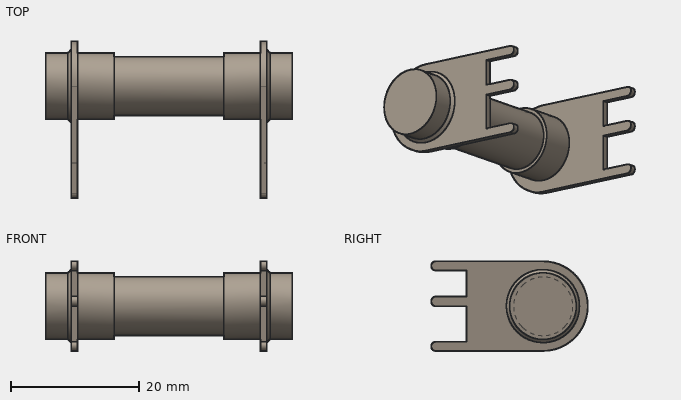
import cadquery as cq

body_length = 38.5
tube_diameter = 9.2
cap_diameter = 10.4
cap_length = 10.7

plate_height = 14.0
plate_depth = 24.45
plate_thickness = 1.0
plate_inset = 4.0
plate_radius = plate_height / 2
tip_y = plate_radius - plate_depth

collar_width = 0.5
collar_diameter = cap_diameter + 2 * collar_width

prong_root_y = -11.95
outer_prong_width = 1.45
middle_prong_width = 1.58
middle_prong_z = 0.75
outer_prong_z = plate_radius - outer_prong_width / 2


def cylinder_x(start_x, length, diameter):
    """Cylinder around the X axis, starting at start_x."""
    return cq.Workplane("YZ", origin=(start_x, 0, 0)).circle(diameter / 2).extrude(length)


def prong(plate_x, center_z, width):
    """Prong running in -Y with a fully rounded tip."""
    radius = width / 2
    tip_center_y = tip_y + radius
    return (
        cq.Workplane("YZ", origin=(plate_x, 0, 0))
        .moveTo(prong_root_y, center_z + radius)
        .lineTo(tip_center_y, center_z + radius)
        .threePointArc((tip_y, center_z), (tip_center_y, center_z - radius))
        .lineTo(prong_root_y, center_z - radius)
        .close()
        .extrude(plate_thickness)
    )


def terminal_plate(plate_x):
    """Plate rounded about the body axis, with three prongs."""
    plate = (
        cq.Workplane("YZ", origin=(plate_x, 0, 0))
        .moveTo(prong_root_y, plate_radius)
        .lineTo(0, plate_radius)
        .threePointArc((plate_radius, 0), (0, -plate_radius))
        .lineTo(prong_root_y, -plate_radius)
        .close()
        .extrude(plate_thickness)
    )
    for center_z, width in (
        (outer_prong_z, outer_prong_width),
        (middle_prong_z, middle_prong_width),
        (-outer_prong_z, outer_prong_width),
    ):
        plate = plate.union(prong(plate_x, center_z, width))
    return plate


def collar(plate_x):
    """Cone widening from the cap diameter to the plate face."""
    return (
        cq.Workplane("YZ", origin=(plate_x - collar_width, 0, 0))
        .circle(cap_diameter / 2)
        .workplane(offset=collar_width)
        .circle(collar_diameter / 2)
        .loft()
    )


def end_assembly():
    """Cap, collar and terminal plate at the -X end."""
    end_x = -body_length / 2
    plate_x = end_x + plate_inset
    cap = cylinder_x(end_x, cap_length, cap_diameter)
    return cap.union(collar(plate_x)).union(terminal_plate(plate_x))


left_end = end_assembly()
right_end = left_end.mirror("YZ")
tube = cylinder_x(-body_length / 2 + cap_length, body_length - 2 * cap_length, tube_diameter)
result = tube.union(left_end).union(right_end)